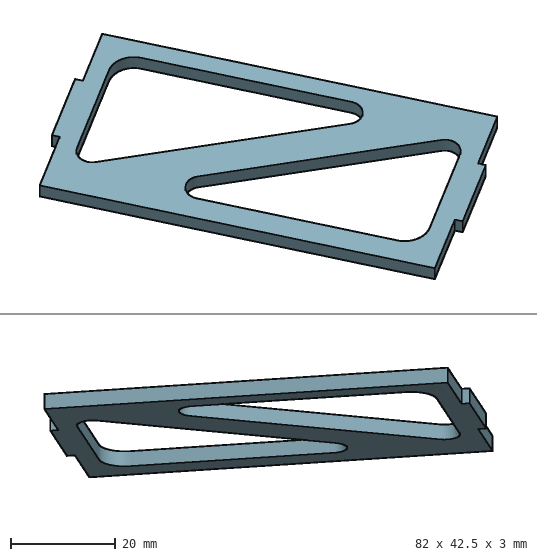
import cadquery as cq

overall_length = 82.0
plate_width = 42.5
thickness = 3.0

tab_projection = 1.55
tab_width = 15.75
tab_offset_y = 0.25

end_margin = 4.0
top_margin = 4.1
bottom_margin = 5.2
upper_window_length = 58.95
upper_window_height = 31.7
lower_window_length = 57.1
lower_window_height = 30.7
square_corner_radius = 5.0
sharp_corner_radius = 3.0

body_length = overall_length - 2 * tab_projection
window_end_x = body_length / 2 - end_margin
window_top_y = plate_width / 2 - top_margin
window_bottom_y = -plate_width / 2 + bottom_margin


def triangular_window(corner_x, corner_y, leg_x, leg_y):
    """Rounded right-triangle cutter; signed legs run from its square corner."""
    cutter = (
        cq.Workplane("XY")
        .moveTo(corner_x, corner_y)
        .lineTo(corner_x + leg_x, corner_y)
        .lineTo(corner_x, corner_y + leg_y)
        .close()
        .extrude(thickness)
    )
    square_edge = cq.NearestToPointSelector((corner_x, corner_y, thickness / 2))
    cutter = cutter.edges("|Z").edges(square_edge).fillet(square_corner_radius)
    for tip in (
        (corner_x + leg_x, corner_y, thickness / 2),
        (corner_x, corner_y + leg_y, thickness / 2),
    ):
        tip_edge = cq.NearestToPointSelector(tip)
        cutter = cutter.edges("|Z").edges(tip_edge).fillet(sharp_corner_radius)
    return cutter


on_base = (True, True, False)
body = cq.Workplane("XY").box(body_length, plate_width, thickness, centered=on_base)
tabs = (
    cq.Workplane("XY")
    .center(0, tab_offset_y)
    .box(overall_length, tab_width, thickness, centered=on_base)
)

upper_window = triangular_window(
    -window_end_x, window_top_y, upper_window_length, -upper_window_height
)
lower_window = triangular_window(
    window_end_x, window_bottom_y, -lower_window_length, lower_window_height
)

result = body.union(tabs).cut(upper_window).cut(lower_window)